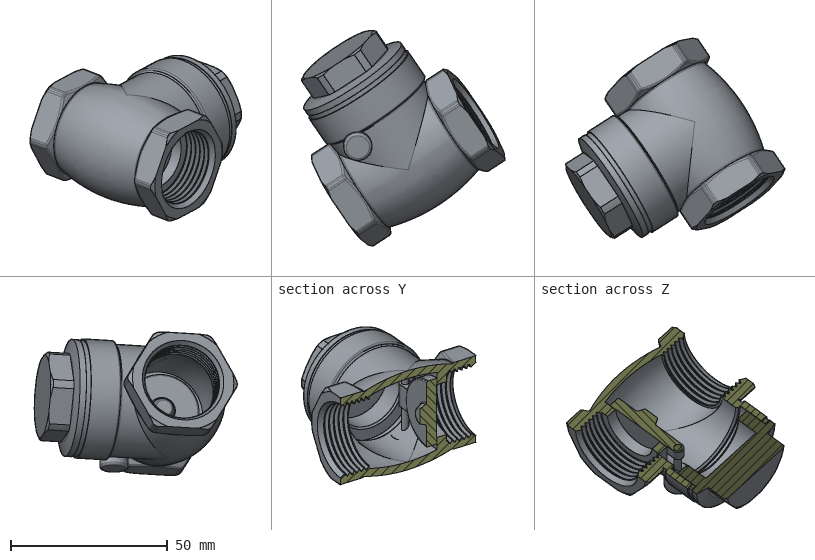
import cadquery as cq
import math

body_length = 52.0
half_length = body_length / 2
tool_overrun = 1.0

hex_flats = 31.5
hex_corner_radius = 17.78
hex_edge_fillet = 1.3
hex_inner_fillet = 0.8
hex_inner_x = 17.2
fillet_zone_start = 0.02
fillet_zone_end = 2.5
hex_outer_chamfer_radius = 16.5
hex_inner_chamfer_radius = 15.6
hex_chamfer_slope = math.tan(math.radians(60))

barrel_radius = 18.0
barrel_end_radius = 15.5
barrel_half_length = 16.7
wall = 3.0
cavity_left_x = -14.9
cavity_end_radius = 13.0

thread_minor_radius = 12.06
thread_major_radius = 13.2
thread_pitch = 1.814
thread_count = 5
mouth_radius = 13.25
mouth_inner_radius = 12.2
mouth_depth = 1.7
thread_root_flat = 0.3
thread_lead_in = 0.1

branch_radius = 18.0
branch_bore_radius = branch_radius - wall
collar_radius = 19.1
collar_bottom_y = 18.7
collar_top_y = 28.5
collar_fillet = 0.5
cap_socket_radius = 16.5
cap_socket_bottom_y = 19.3
branch_bore_chamfer = 0.7

gasket_radius = 18.6
gasket_thickness = 1.5
cap_flange_radius = 18.75
cap_flange_thickness = 2.1
cap_cone_height = 1.1
cap_cone_top_radius = 14.3
cap_top_y = 40.52
cap_hex_flats = 26.0
cap_hex_corner_radius = 14.3
cap_hex_chamfer_radius = 13.2
cap_hex_chamfer_height = 0.6
cap_skirt_inner_radius = 12.0
cap_skirt_end_y = 22.0
cap_skirt_chamfer = 0.6

seat_x = 11.0
seat_hole_radius = 9.5
disc_radius = 12.0
disc_thickness = 4.0
disc_edge_fillet = 0.5
stud_base_radius = 3.75
stud_tip_radius = 2.8
stud_height = 2.5
stud_base_fillet = 0.45
stud_tip_fillet = 0.4
lug_width = 8.0
lug_radius = 2.0
seat_ledge_y = 12.5

hinge_x = 9.06
hinge_y = 15.4
pin_radius = 1.2
pin_tip_z = 14.0
pin_head_radius = 4.5
pin_head_bottom_z = -19.9
pin_head_seat_z = -14.5
pin_head_fillet = 0.8

gasket_top_y = collar_top_y + gasket_thickness
flange_top_y = gasket_top_y + cap_flange_thickness
cone_top_y = flange_top_y + cap_cone_height


def cylinder_y(radius, start_y, end_y):
    """Cylinder along the bonnet axis."""
    return cq.Workplane("XZ", origin=(0, start_y, 0)).circle(radius).extrude(start_y - end_y)


def cylinder_x(radius, start_x, end_x):
    """Cylinder along the flow axis."""
    return cq.Workplane("YZ", origin=(start_x, 0, 0)).circle(radius).extrude(end_x - start_x)


def cylinder_z(radius, start_z, end_z):
    """Cylinder along the hinge axis."""
    return cq.Workplane("XY", origin=(hinge_x, hinge_y, start_z)).circle(radius).extrude(end_z - start_z)


def revolve_about_x(outline):
    return outline.close().revolve(360, (0, 0, 0), (1, 0, 0))


def revolve_about_y(outline):
    return outline.close().revolve(360, (0, 0, 0), (0, 1, 0))


def both_ends(right_end):
    """The +X feature together with its mirror image at -X."""
    return [right_end, right_end.mirror("YZ")]


def hex_end():
    corner_diameter = hex_flats / math.cos(math.radians(30))
    prism = (
        cq.Workplane("YZ", origin=(hex_inner_x, 0, 0))
        .polygon(6, corner_diameter)
        .extrude(half_length - hex_inner_x)
        .intersect(cylinder_x(hex_corner_radius, hex_inner_x, half_length))
        .edges("|X")
        .fillet(hex_edge_fillet)
    )
    clear_radius = corner_diameter / 2 + tool_overrun
    inner_chamfer_depth = (clear_radius - hex_inner_chamfer_radius) / hex_chamfer_slope
    outer_chamfer_depth = (clear_radius - hex_outer_chamfer_radius) / hex_chamfer_slope
    envelope = revolve_about_x(
        cq.Workplane("XY")
        .moveTo(hex_inner_x, 0)
        .lineTo(hex_inner_x, hex_inner_chamfer_radius)
        .lineTo(hex_inner_x + inner_chamfer_depth, clear_radius)
        .lineTo(half_length - outer_chamfer_depth, clear_radius)
        .lineTo(half_length, hex_outer_chamfer_radius)
        .lineTo(half_length, 0)
    )
    chamfered = prism.intersect(envelope)
    inner_region = cq.selectors.BoxSelector(
        (hex_inner_x + fillet_zone_start, -clear_radius, -clear_radius),
        (hex_inner_x + fillet_zone_end, clear_radius, clear_radius),
    )
    return chamfered.edges(inner_region).fillet(hex_inner_fillet)


def barrel():
    return revolve_about_x(
        cq.Workplane("XY")
        .moveTo(-hex_inner_x, 0)
        .lineTo(-hex_inner_x, barrel_end_radius)
        .lineTo(-barrel_half_length, barrel_end_radius)
        .threePointArc((0, barrel_radius), (barrel_half_length, barrel_end_radius))
        .lineTo(hex_inner_x, barrel_end_radius)
        .lineTo(hex_inner_x, 0)
    )


def branch():
    arc_offset = collar_fillet * math.sqrt(0.5)
    neck_end_y = collar_bottom_y - collar_fillet
    neck_edge_radius = branch_radius + collar_fillet
    rim_start_y = collar_bottom_y + collar_fillet
    rim_edge_radius = collar_radius - collar_fillet
    return revolve_about_y(
        cq.Workplane("XY")
        .lineTo(branch_radius, 0)
        .lineTo(branch_radius, neck_end_y)
        .threePointArc(
            (neck_edge_radius - arc_offset, neck_end_y + arc_offset),
            (neck_edge_radius, collar_bottom_y),
        )
        .lineTo(rim_edge_radius, collar_bottom_y)
        .threePointArc(
            (rim_edge_radius + arc_offset, rim_start_y - arc_offset),
            (collar_radius, rim_start_y),
        )
        .lineTo(collar_radius, collar_top_y)
        .lineTo(0, collar_top_y)
    )


def barrel_cavity():
    """Hollow of the barrel, ending at the valve seat on the +X side."""
    hollow = revolve_about_x(
        cq.Workplane("XY")
        .moveTo(cavity_left_x, 0)
        .lineTo(cavity_left_x, cavity_end_radius)
        .threePointArc((0, barrel_radius - wall), (-cavity_left_x, cavity_end_radius))
        .lineTo(-cavity_left_x, 0)
    )
    return hollow.intersect(cylinder_x(barrel_radius, cavity_left_x, seat_x))


def branch_bore():
    """Bonnet bore; it leaves the seat wall whole below the ledge."""
    seat_block = cq.Workplane("XY").box(
        half_length, 2 * seat_ledge_y, 2 * barrel_radius, centered=(False, True, True)
    ).translate((seat_x, 0, 0))
    socket = cylinder_y(cap_socket_radius, cap_socket_bottom_y, collar_top_y)
    bore = revolve_about_y(
        cq.Workplane("XY")
        .lineTo(branch_bore_radius, 0)
        .lineTo(branch_bore_radius, cap_socket_bottom_y - branch_bore_chamfer)
        .lineTo(branch_bore_radius + branch_bore_chamfer, cap_socket_bottom_y)
        .lineTo(0, cap_socket_bottom_y)
    )
    return bore.cut(seat_block).union(socket)


def threaded_bore():
    """Tapered mouth followed by ring-shaped thread grooves."""
    thread_start = half_length - mouth_depth
    thread_end = -cavity_left_x
    outline = (
        cq.Workplane("XY")
        .moveTo(half_length, 0)
        .lineTo(half_length, mouth_radius)
        .lineTo(thread_start, mouth_inner_radius)
        .lineTo(thread_start - thread_lead_in, thread_minor_radius)
    )
    for i in range(thread_count):
        groove_center = thread_start - thread_lead_in - (i + 0.5) * thread_pitch
        half_mouth = thread_pitch / 2 - thread_root_flat / 2
        outline = (
            outline.lineTo(groove_center + half_mouth, thread_minor_radius)
            .lineTo(groove_center + thread_root_flat / 2, thread_major_radius)
            .lineTo(groove_center - thread_root_flat / 2, thread_major_radius)
            .lineTo(groove_center - half_mouth, thread_minor_radius)
        )
    outline = outline.lineTo(thread_end, thread_minor_radius).lineTo(thread_end, 0)
    return revolve_about_x(outline)


def make_body():
    body = barrel().union(branch())
    for end in both_ends(hex_end()):
        body = body.union(end)
    body = body.cut(barrel_cavity()).cut(branch_bore())
    for bore in both_ends(threaded_bore()):
        body = body.cut(bore)
    body = body.cut(cylinder_x(seat_hole_radius, seat_x - tool_overrun, half_length))
    body = body.cut(cylinder_z(pin_radius, pin_head_seat_z, pin_tip_z))
    return body.cut(cylinder_z(pin_head_radius, pin_head_bottom_z - tool_overrun, pin_head_seat_z))


def make_gasket():
    ring = cylinder_y(gasket_radius, collar_top_y, gasket_top_y)
    return ring.cut(cylinder_y(cap_socket_radius, collar_top_y, gasket_top_y))


def cap_hex():
    hex_bottom_y = flange_top_y
    prism = (
        cq.Workplane("XZ", origin=(0, hex_bottom_y, 0))
        .polygon(6, cap_hex_flats / math.cos(math.radians(30)))
        .extrude(hex_bottom_y - cap_top_y)
    )
    envelope = revolve_about_y(
        cq.Workplane("XY")
        .moveTo(0, hex_bottom_y)
        .lineTo(cap_hex_corner_radius, hex_bottom_y)
        .lineTo(cap_hex_corner_radius, cap_top_y - cap_hex_chamfer_height)
        .lineTo(cap_hex_chamfer_radius, cap_top_y)
        .lineTo(0, cap_top_y)
    )
    return prism.intersect(envelope)


def make_cap():
    flange_and_skirt = revolve_about_y(
        cq.Workplane("XY")
        .moveTo(0, gasket_top_y)
        .lineTo(cap_skirt_inner_radius, gasket_top_y)
        .lineTo(cap_skirt_inner_radius, cap_skirt_end_y + cap_skirt_chamfer)
        .lineTo(cap_skirt_inner_radius + cap_skirt_chamfer, cap_skirt_end_y)
        .lineTo(cap_socket_radius, cap_skirt_end_y)
        .lineTo(cap_socket_radius, gasket_top_y)
        .lineTo(cap_flange_radius, gasket_top_y)
        .lineTo(cap_flange_radius, flange_top_y)
        .lineTo(cap_cone_top_radius, cone_top_y)
        .lineTo(0, cone_top_y)
    )
    return flange_and_skirt.union(cap_hex())


def make_flapper():
    front_x = seat_x - disc_thickness
    disc = cylinder_x(disc_radius, front_x, seat_x).faces("<X").edges().fillet(disc_edge_fillet)
    seat_side_limit = cq.Workplane("XY").box(
        seat_x, 2 * barrel_radius, lug_width, centered=(False, True, True)
    )
    lug = (
        cq.Workplane("XY", origin=(0, 0, -lug_width / 2))
        .moveTo(hinge_x - lug_radius, 0)
        .lineTo(hinge_x - lug_radius, hinge_y)
        .threePointArc((hinge_x, hinge_y + lug_radius), (hinge_x + lug_radius, hinge_y))
        .lineTo(hinge_x + lug_radius, 0)
        .close()
        .extrude(lug_width)
        .intersect(seat_side_limit)
    )
    stud = revolve_about_x(
        cq.Workplane("XY")
        .moveTo(front_x, 0)
        .lineTo(front_x, stud_base_radius + stud_base_fillet)
        .lineTo(front_x - stud_base_fillet, stud_base_radius)
        .lineTo(front_x - stud_height, stud_tip_radius)
        .lineTo(front_x - stud_height, 0)
    ).faces("<X").edges().fillet(stud_tip_fillet)
    flapper = disc.union(lug).union(stud)
    return flapper.cut(cylinder_z(pin_radius, -lug_width, lug_width))


def make_hinge_pin():
    head = cylinder_z(pin_head_radius, pin_head_bottom_z, pin_head_seat_z)
    head = head.faces("<Z").edges().fillet(pin_head_fillet)
    return head.union(cylinder_z(pin_radius, pin_head_seat_z, pin_tip_z))


body = make_body()
gasket = make_gasket()
cap = make_cap()
flapper = make_flapper()
hinge_pin = make_hinge_pin()

result = cq.Compound.makeCompound(
    [part.solids().val() for part in (body, gasket, cap, flapper, hinge_pin)]
)